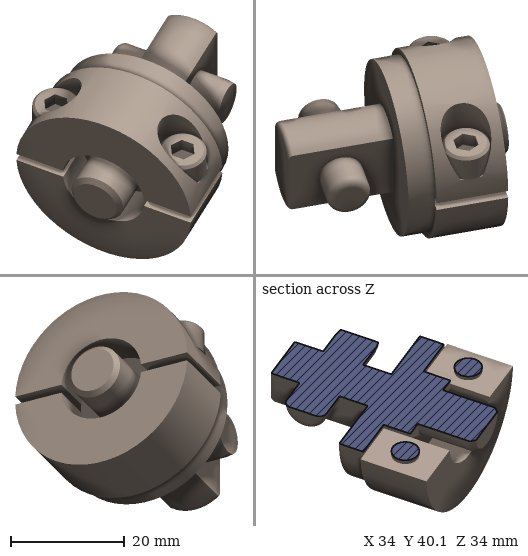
import cadquery as cq
import math


clamp_diameter = 34.0
clamp_radius = clamp_diameter / 2
clamp_length = 12.97
flange_radius = 15.85
flange_thickness = 4.8
bore_radius = 7.9
core_length = 5.25
slot_width = 1.6
pivot_radius = 5.0
pivot_projection = 3.37
pivot_chamfer = 0.85

tang_radius = bore_radius
tang_end = 23.8
tang_width = 9.35
tang_edge_radius = 0.85

cross_pin_radius = 3.98
cross_pin_length = 22.33
cross_pin_y = 14.25
cross_pin_round = 1.5
cross_pin_taper_length = 1.4
cross_pin_taper_depth = 0.25

screw_x = 12.33
screw_y = -clamp_length / 2
shank_radius = 2.5
head_radius = 4.2
head_seat_z = 4.78
head_height = 4.98
head_chamfer = 0.5
counterbore_radius = 4.45
hex_across_flats = 3.98
hex_depth = 2.6


def rod_along_y(radius, y_start, y_end):
    """Cylinder on the main axis between two Y positions."""
    return cq.Workplane("XZ", origin=(0, y_start, 0)).circle(radius).extrude(y_start - y_end)


def make_tang():
    """Round bar with a rounded end, cut to two parallel flats."""
    bar = rod_along_y(tang_radius, flange_thickness, tang_end)
    bar = bar.faces(">Y").edges().fillet(tang_edge_radius)
    flats = cq.Workplane("XY").box(tang_width, 2 * tang_end, 2 * tang_radius)
    return bar.intersect(flats)


def make_cross_pin():
    """Pin along X, rounded at its -X end and slightly tapered at its +X end."""
    half_length = cross_pin_length / 2
    pin = (
        cq.Workplane("YZ", origin=(-half_length, cross_pin_y, 0))
        .circle(cross_pin_radius)
        .extrude(cross_pin_length)
    )
    pin = pin.faces("<X").edges().fillet(cross_pin_round)
    return pin.faces(">X").edges().chamfer(cross_pin_taper_length, cross_pin_taper_depth)


def make_clamp():
    """Clamp ring on its flange, split along Z = 0 around a solid core, with screw counterbores."""
    clamp = rod_along_y(clamp_radius, -clamp_length, 0)
    slot = cq.Workplane("XY").box(2 * clamp_radius, clamp_length, slot_width)
    clamp = clamp.cut(slot.translate((0, -clamp_length / 2, 0)))
    counterbores = (
        cq.Workplane("XY", origin=(0, screw_y, head_seat_z))
        .pushPoints([(-screw_x, 0), (screw_x, 0)])
        .circle(counterbore_radius)
        .extrude(clamp_radius)
    )
    body = clamp.cut(counterbores).union(rod_along_y(flange_radius, 0, flange_thickness))
    body = body.cut(rod_along_y(bore_radius, -clamp_length, 0))
    return body.union(rod_along_y(bore_radius, -core_length, 0))


def make_pivot():
    """Chamfered pin standing on the core and projecting past the clamp."""
    pivot = rod_along_y(pivot_radius, -clamp_length - pivot_projection, -core_length)
    return pivot.faces("<Y").edges().chamfer(pivot_chamfer)


def make_screw(x):
    """Socket head screw whose shank bridges the clamp slot."""
    shank_bottom = -slot_width / 2
    head = cq.Workplane("XY", origin=(x, screw_y, head_seat_z)).circle(head_radius).extrude(head_height)
    head = head.faces(">Z").edges().chamfer(head_chamfer)
    hex_across_corners = hex_across_flats / math.cos(math.pi / 6)
    socket = (
        cq.Workplane("XY", origin=(x, screw_y, head_seat_z + head_height))
        .polygon(6, hex_across_corners)
        .extrude(-hex_depth)
    )
    shank = (
        cq.Workplane("XY", origin=(x, screw_y, shank_bottom))
        .circle(shank_radius)
        .extrude(head_seat_z - shank_bottom)
    )
    return head.cut(socket).union(shank)


result = make_clamp().union(make_pivot()).union(make_tang()).union(make_cross_pin())
for side in (-1, 1):
    result = result.union(make_screw(side * screw_x))